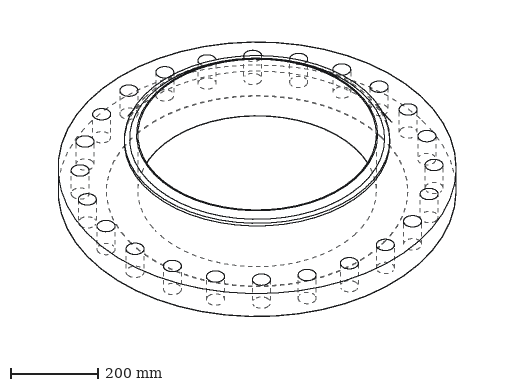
import cadquery as cq
import math

flange_diameter = 914.4
overall_height = 168.21
bore_diameter = 547.7

plate_height = 69.85
raised_face_diameter = 692.15
raised_face_height = 1.6

hub_base_diameter = 701.7
hub_fillet_radius = 3.0
neck_diameter = 609.6
neck_band_height = 8.0

root_land = 3.0
bevel_break_depth = 19.0
steep_bevel_angle = 37.5
shallow_bevel_angle = 10.0

bolt_count = 24
bolt_circle_diameter = 812.8
bolt_hole_diameter = 41.3

bore_radius = bore_diameter / 2
neck_radius = neck_diameter / 2
land_radius = bore_radius + root_land
bevel_break_radius = bore_radius + bevel_break_depth
steep_bevel_drop = (bevel_break_radius - land_radius) * math.tan(math.radians(steep_bevel_angle))
shallow_bevel_drop = (neck_radius - bevel_break_radius) * math.tan(math.radians(shallow_bevel_angle))
bevel_break_z = overall_height - steep_bevel_drop
neck_top_z = bevel_break_z - shallow_bevel_drop
taper_top_z = neck_top_z - neck_band_height


def revolved_body():
    """Plate, raised face, tapered hub and welding end, turned about Z."""
    profile = [
        (bore_radius, 0),
        (raised_face_diameter / 2, 0),
        (raised_face_diameter / 2, raised_face_height),
        (flange_diameter / 2, raised_face_height),
        (flange_diameter / 2, plate_height),
        (hub_base_diameter / 2, plate_height),
        (neck_radius, taper_top_z),
        (neck_radius, neck_top_z),
        (bevel_break_radius, bevel_break_z),
        (land_radius, overall_height),
        (bore_radius, overall_height),
    ]
    body = cq.Workplane("XZ").polyline(profile).close().revolve(360, (0, 0), (0, 1))
    hub_base_edge = body.edges(cq.selectors.RadiusNthSelector(-2))
    return hub_base_edge.fillet(hub_fillet_radius)


def bolt_holes():
    """Through holes evenly spaced on the bolt circle, the first on the X axis."""
    return (
        cq.Workplane("XY")
        .polarArray(bolt_circle_diameter / 2, 0, 360, bolt_count)
        .circle(bolt_hole_diameter / 2)
        .extrude(plate_height)
    )


result = revolved_body().cut(bolt_holes())